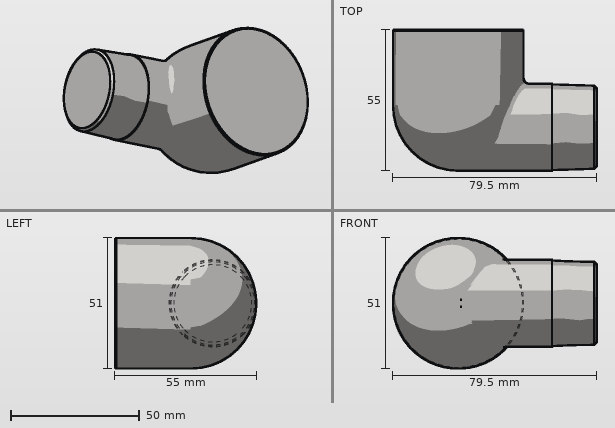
import cadquery as cq

SOCKET_DIAMETER = 51.0
SOCKET_END_Y = 29.5
SOCKET_CHAMFER = 0.5
SPIGOT_DIAMETER = 34.0
SPIGOT_END_X = 54.0
TAPER_LENGTH = 17.5
TAPER_LARGE_DIAMETER = 33.5
TAPER_RATIO = 1 / 16
TIP_CHAMFER = 1.1
JOINT_FILLET = 2.0
FILLET_START_X = 1.0

FULL_TURN = 360
HALF_TURN = 180

SOCKET_RADIUS = SOCKET_DIAMETER / 2
SPIGOT_RADIUS = SPIGOT_DIAMETER / 2
SPIGOT_AXIS_Y = SPIGOT_RADIUS - SOCKET_RADIUS
TAPER_START_X = SPIGOT_END_X - TAPER_LENGTH
TAPER_LARGE_RADIUS = TAPER_LARGE_DIAMETER / 2
TAPER_SMALL_RADIUS = TAPER_LARGE_RADIUS - TAPER_LENGTH * TAPER_RATIO / 2


def make_socket():
    """Cylinder along +Y with a chamfered rim and a domed end, its seam turned away from the spigot."""
    cylinder = (
        cq.Workplane("XZ")
        .circle(SOCKET_RADIUS)
        .extrude(-SOCKET_END_Y)
        .faces(">Y")
        .chamfer(SOCKET_CHAMFER)
    )
    dome = (
        cq.Workplane("XY")
        .moveTo(0, 0)
        .lineTo(0, -SOCKET_RADIUS)
        .radiusArc((SOCKET_RADIUS, 0), -SOCKET_RADIUS)
        .close()
        .revolve(FULL_TURN, (0, 0, 0), (0, 1, 0))
    )
    return cylinder.union(dome).rotate((0, 0, 0), (0, 1, 0), HALF_TURN)


def make_spigot():
    """Cylinder along +X from the dome centre to the taper, its seam turned to the flush side."""
    return (
        cq.Workplane("YZ")
        .center(SPIGOT_AXIS_Y, 0)
        .circle(SPIGOT_RADIUS)
        .extrude(TAPER_START_X)
        .rotate((0, SPIGOT_AXIS_Y, 0), (1, SPIGOT_AXIS_Y, 0), HALF_TURN)
    )


def make_tapered_end():
    """Slim cone on the end of the spigot, with a chamfered tip."""
    return (
        cq.Workplane("XY", origin=(0, SPIGOT_AXIS_Y, 0))
        .moveTo(TAPER_START_X, 0)
        .lineTo(TAPER_START_X, TAPER_LARGE_RADIUS)
        .lineTo(SPIGOT_END_X, TAPER_SMALL_RADIUS)
        .lineTo(SPIGOT_END_X, 0)
        .close()
        .revolve(FULL_TURN, (0, 0, 0), (1, 0, 0))
        .faces(">X")
        .chamfer(TIP_CHAMFER)
    )


def fillet_joint(body):
    """Round the inner corner where the spigot meets the socket and its dome."""
    block_size = 2 * (SOCKET_DIAMETER + SPIGOT_END_X)
    spigot_side = (
        cq.Workplane("YZ", origin=(FILLET_START_X, 0, 0))
        .rect(block_size, block_size)
        .extrude(block_size)
    )
    filleted_half = body.intersect(spigot_side)
    joint_edges = [edge for edge in filleted_half.edges().vals() if edge.geomType() == "BSPLINE"]
    filleted_half = filleted_half.newObject(joint_edges).fillet(JOINT_FILLET)
    return body.cut(spigot_side).union(filleted_half)


elbow = fillet_joint(make_socket().union(make_spigot()))
result = elbow.union(make_tapered_end())